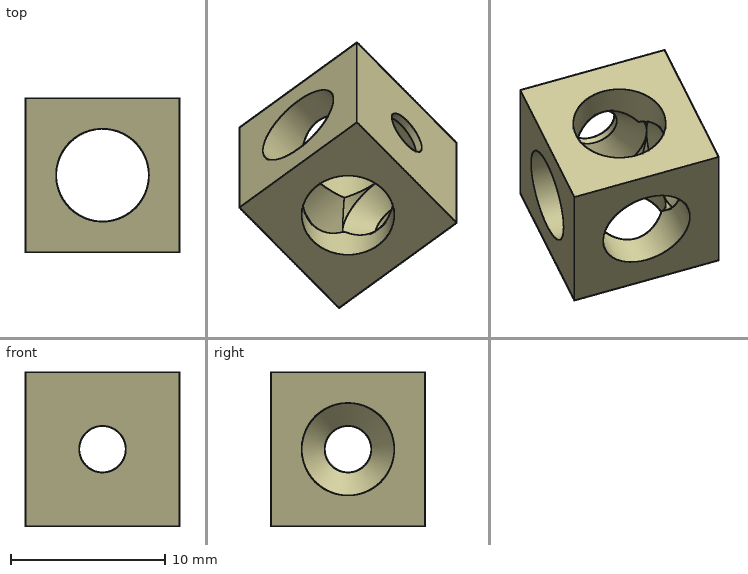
import cadquery as cq

side = 10.0
wide_diameter = 6.0
narrow_diameter = 3.0
narrow_length = 0.5

wide_radius = wide_diameter / 2
narrow_radius = narrow_diameter / 2
cone_length = wide_radius - narrow_radius


def straight_bore():
    """Wide cylinder along Z, through the whole cube."""
    return cq.Workplane("XY").circle(wide_radius).extrude(side / 2, both=True)


def stepped_bore():
    """Bore along X: narrow at the -X face, opening through a cone to the wide radius."""
    cone_start = -side / 2 + narrow_length
    cone_end = cone_start + cone_length
    half_profile = (
        cq.Workplane("XY")
        .moveTo(-side / 2, 0)
        .lineTo(-side / 2, narrow_radius)
        .lineTo(cone_start, narrow_radius)
        .lineTo(cone_end, wide_radius)
        .lineTo(side / 2, wide_radius)
        .lineTo(side / 2, 0)
        .close()
    )
    return half_profile.revolve(360, (0, 0, 0), (1, 0, 0))


bore_along_x = stepped_bore()
bore_along_y = stepped_bore().rotate((0, 0, 0), (0, 0, 1), 90)

result = cq.Workplane("XY").box(side, side, side)
for bore in (straight_bore(), bore_along_x, bore_along_y):
    result = result.cut(bore)